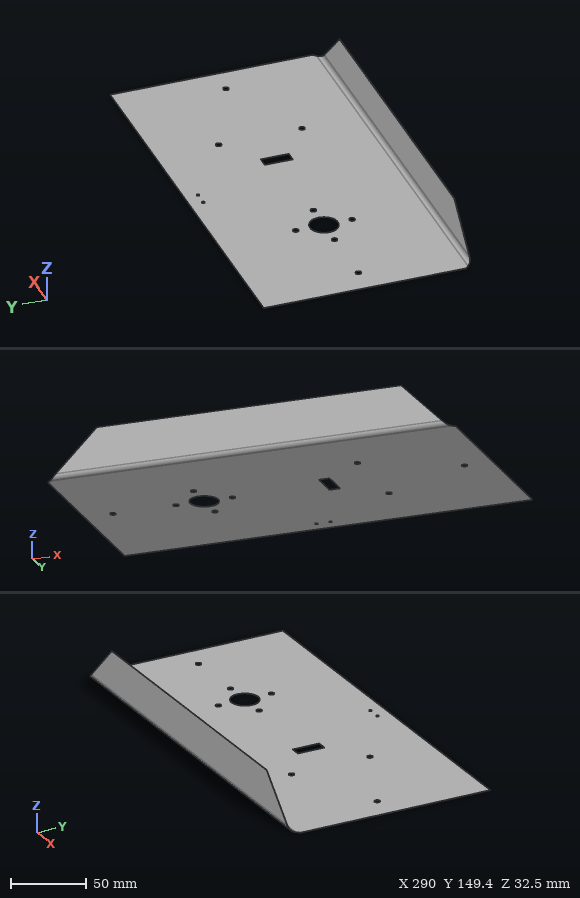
import cadquery as cq
import math

length = 290.0
depth = 149.4
height = 32.5
thickness = 0.5
outer_radius = 3.5
inner_radius = outer_radius - thickness

front = -depth / 2
back = depth / 2
bend_start = front + outer_radius

cut_lead = 2.3

mount_spacing = 250.0
screw_diameter = 4.0
bore_diameter = 20.0
bore_x = -60.0
bore_screw_offset = 20.0
pair_x = 60.0
pair_spacing = 59.2
pin_diameter = 2.0
pin_spacing = 10.0
pin_y = 65.0
slot_x = 29.0
slot_width = 7.5
slot_length = 20.0


def plate():
    """Flat plate with its two front corners cut at 45 degrees."""
    half = length / 2
    return (
        cq.Workplane("XY")
        .polyline([
            (half, back),
            (half, bend_start + cut_lead),
            (half - cut_lead, bend_start),
            (-half + cut_lead, bend_start),
            (-half, bend_start + cut_lead),
            (-half, back),
        ])
        .close()
        .extrude(thickness)
    )


def bend_edge_point(side, radius, angle):
    """Point on one end of the bend: the inset grows with the outer arc length."""
    inset = cut_lead + outer_radius * angle
    return cq.Vector(
        side * (length / 2 - inset),
        bend_start - radius * math.sin(angle),
        outer_radius - radius * math.cos(angle),
    )


def bend_end_surface(side):
    """Helical surface, a little larger than the sheet section, that trims one end of the bend."""
    margin = 0.3
    steps = 8
    angle_step = math.pi / 2 / steps
    angles = [i * angle_step for i in range(-1, steps + 2)]
    edges = []
    for radius in (inner_radius - margin, outer_radius + margin):
        edges.append(cq.Edge.makeSpline([bend_edge_point(side, radius, angle) for angle in angles]))
    return cq.Face.makeRuledSurface(*edges)


def bend():
    """Quarter tube joining plate and flange, with both ends trimmed."""
    diagonal = math.sqrt(0.5)
    tube = (
        cq.Workplane("YZ")
        .moveTo(bend_start, 0)
        .threePointArc(
            (bend_start - outer_radius * diagonal, outer_radius * (1 - diagonal)),
            (front, outer_radius),
        )
        .lineTo(front + thickness, outer_radius)
        .threePointArc(
            (bend_start - inner_radius * diagonal, outer_radius - inner_radius * diagonal),
            (bend_start, thickness),
        )
        .close()
        .extrude(length / 2, both=True)
    )
    for side in (-1, 1):
        pieces = tube.val().split(bend_end_surface(side)).Solids()
        tube = cq.Workplane(max(pieces, key=lambda piece: piece.Volume()))
    return tube


def flange():
    """Upright wall whose ends continue the 45 degree cut."""
    wall_height = height - outer_radius
    bottom_half = length / 2 - cut_lead - outer_radius * math.pi / 2
    top_half = bottom_half - wall_height
    return (
        cq.Workplane("XZ", origin=(0, front + thickness, 0))
        .polyline([
            (-bottom_half, outer_radius),
            (bottom_half, outer_radius),
            (top_half, height),
            (-top_half, height),
        ])
        .close()
        .extrude(thickness)
    )


def hole_cutter(diameter, points):
    return cq.Workplane("XY").pushPoints(points).circle(diameter / 2).extrude(thickness)


result = plate().union(bend()).union(flange())

screw_points = [
    (bore_x - bore_screw_offset, 0),
    (bore_x + bore_screw_offset, 0),
    (bore_x, -bore_screw_offset),
    (bore_x, bore_screw_offset),
]
for side in (-1, 1):
    screw_points.append((side * mount_spacing / 2, 0))
    screw_points.append((pair_x, side * pair_spacing / 2))
pin_points = [(side * pin_spacing / 2, pin_y) for side in (-1, 1)]

result = result.cut(hole_cutter(screw_diameter, screw_points))
result = result.cut(hole_cutter(bore_diameter, [(bore_x, 0)]))
result = result.cut(hole_cutter(pin_diameter, pin_points))
slot = cq.Workplane("XY").center(slot_x, 0).rect(slot_width, slot_length).extrude(thickness)
result = result.cut(slot)